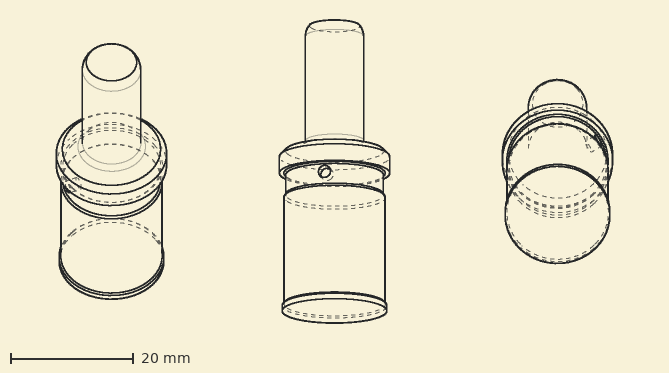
import cadquery as cq
import math

height = 47.7
pin_radius = 4.75
tip_radius = 4.1
flange_radius = 8.99
neck_radius = 7.95
body_radius = 8.25
foot_radius = 8.55

foot_top = 1.2
body_top = 19.45
neck_top = 23.05
flange_top = 25.8

foot_chamfer = foot_radius - body_radius
body_chamfer_height = 0.45
relief_chamfer = 0.3
flange_chamfer = 1.0
tip_rounding_height = 1.7
root_fillet_radius = 1.0

shoulder_angle = math.radians(16)
shoulder_outer_radius = flange_radius - flange_chamfer
shoulder_base = flange_top + flange_chamfer

vent_diameter = 2.0
vent_depth = 2.0
vent_level = 21.45


def turned_body():
    """Revolve the half profile of the body, flange and pin about Z."""
    root_center_radius = pin_radius + root_fillet_radius
    root_end_radius = root_center_radius - root_fillet_radius * math.sin(shoulder_angle)
    shoulder_rise = (shoulder_outer_radius - root_end_radius) * math.tan(shoulder_angle)
    root_start_level = shoulder_base + shoulder_rise
    root_end_level = root_start_level + root_fillet_radius * math.cos(shoulder_angle)
    tip_start_level = height - tip_rounding_height

    profile = (
        cq.Workplane("XZ")
        .lineTo(foot_radius, 0)
        .lineTo(foot_radius, foot_top - foot_chamfer)
        .lineTo(body_radius, foot_top)
        .lineTo(body_radius, body_top - body_chamfer_height)
        .lineTo(neck_radius, body_top)
        .lineTo(neck_radius, neck_top - relief_chamfer)
        .lineTo(neck_radius + relief_chamfer, neck_top)
        .lineTo(flange_radius, neck_top)
        .lineTo(flange_radius, flange_top)
        .lineTo(shoulder_outer_radius, shoulder_base)
        .lineTo(root_end_radius, root_start_level)
        .tangentArcPoint((pin_radius, root_end_level), relative=False)
        .lineTo(pin_radius, tip_start_level)
        .tangentArcPoint((tip_radius, height), relative=False)
        .lineTo(0, height)
        .close()
    )
    return profile.revolve(360, (0, 0, 0), (0, 1, 0))


def vent_hole():
    """Radial drilling entering the neck from -Y."""
    return (
        cq.Workplane("XZ", origin=(0, vent_depth - neck_radius, vent_level))
        .circle(vent_diameter / 2)
        .extrude(flange_radius)
    )


result = turned_body().cut(vent_hole())